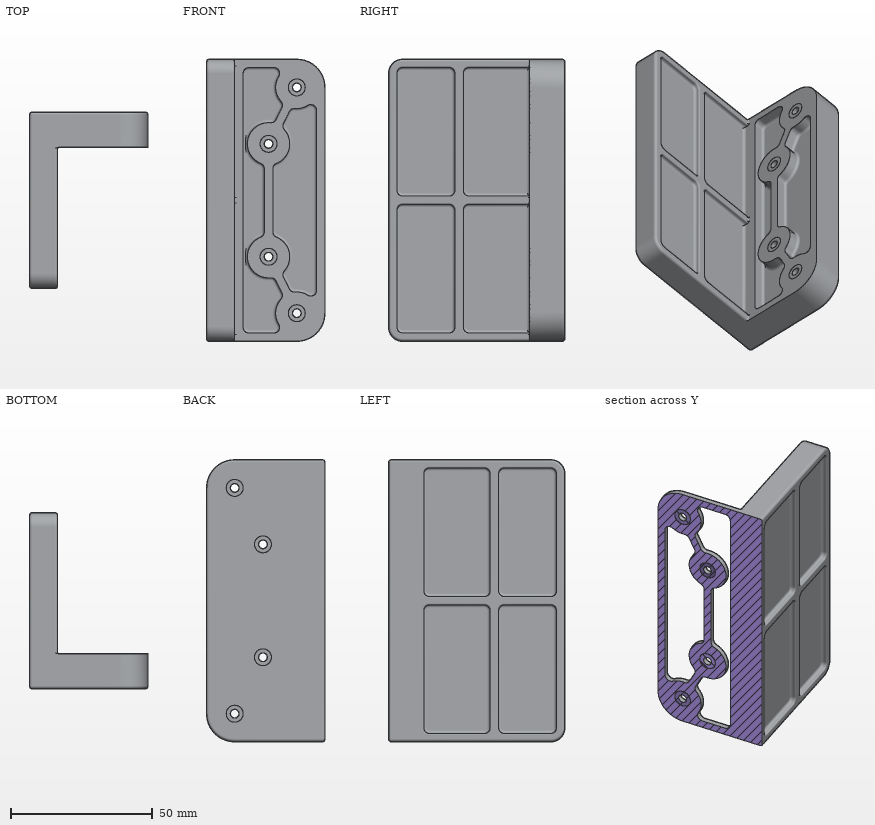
import cadquery as cq
import math

height = 100.0
flange_length = 42.0
flange_thickness = 12.5
wall_length = 50.0
wall_thickness = 10.0
flange_corner_radius = 10.0
wall_corner_radius = 5.0
edge_radius = 1.0

outer_hole = (32.0, 40.0)
inner_hole = (22.0, 20.0)
sleeve_diameter = 6.0
bore_diameter = 3.0

flange_pocket_margin = 3.0
flange_pocket_depth = 4.5
flange_pocket_corner_radius = 2.0
flange_floor_radius = 1.0
boss_radius = 7.5
rib_width = 3.0

wall_pocket_margin = 3.0
wall_rib_width = 3.0
wall_pocket_depth = 2.0
wall_pocket_corner_radius = 2.0
wall_floor_radius = 1.0
wall_rim_radius = 0.5
corner_fillet_radius = 0.5

half_height = height / 2
tiny = 0.01
upper_holes = [outer_hole, inner_hole]
hole_centres = upper_holes + [(x, -z) for x, z in reversed(upper_holes)]


def block(x_range, y_range, z_range):
    """Box spanning the given (low, high) ranges."""
    low, high = zip(x_range, y_range, z_range)
    size = [b - a for a, b in zip(low, high)]
    return cq.Workplane("XY").box(*size, centered=False).translate(low)


def y_cylinder(centre, radius, y_end):
    """Cylinder along Y from the front face of the flange (Y = 0) to y_end."""
    x, z = centre
    return cq.Workplane("XZ").center(x, z).circle(radius).extrude(-y_end)


def bracket_blank():
    """L-shaped wall and flange with rounded corners and edges."""
    z_range = (-half_height, half_height)
    flange = block((0, flange_length), (0, flange_thickness), z_range)
    flange = flange.edges("|Y and >X").fillet(flange_corner_radius)
    wall = block((0, wall_thickness), (-wall_length, flange_thickness), z_range)
    wall = wall.edges("|X and <Y").fillet(wall_corner_radius)
    blank = flange.union(wall).clean()
    blank = blank.faces("<X or >Y").edges().fillet(edge_radius)
    inner_face_edges = cq.selectors.BoxSelector(
        (wall_thickness - tiny, -wall_length - tiny, -half_height - tiny),
        (wall_thickness + tiny, -tiny, half_height + tiny),
    )
    return blank.edges(inner_face_edges).fillet(edge_radius)


def rib_between(start, end):
    """Rib running between two boss centres, as deep as the flange pockets."""
    run = end[0] - start[0]
    rise = end[1] - start[1]
    rib = cq.Workplane("XZ").rect(math.hypot(run, rise), rib_width).extrude(-flange_pocket_depth)
    rib = rib.rotate((0, 0, 0), (0, 1, 0), -math.degrees(math.atan2(rise, run)))
    return rib.translate(((start[0] + end[0]) / 2, 0, (start[1] + end[1]) / 2))


def rounded_pocket(outline_block):
    """Flange pocket volume with rounded corners and a rounded floor edge."""
    pocket = outline_block.edges("|Y").fillet(flange_pocket_corner_radius)
    return pocket.faces(">Y").edges().fillet(flange_floor_radius)


def flange_pockets():
    """The pocket volume beside the wall and the one beside the free edge of the flange."""
    left = wall_thickness + flange_pocket_margin
    right = flange_length - flange_pocket_margin
    top = half_height - flange_pocket_margin
    depth_range = (0, flange_pocket_depth)
    islands = block((0, right), depth_range, (-top, top))
    for centre in hole_centres:
        islands = islands.cut(y_cylinder(centre, boss_radius, flange_pocket_depth))
    for start, end in zip(hole_centres, hole_centres[1:]):
        islands = islands.cut(rib_between(start, end))
    corner_x, corner_z = outer_hole
    for z_range in ((corner_z, half_height), (-half_height, -corner_z)):
        islands = islands.cut(block((corner_x, flange_length), depth_range, z_range))
    frame = rounded_pocket(block((left, right), depth_range, (-top, top)))
    return frame.intersect(rounded_pocket(islands))


def wall_pocket_spans():
    """(Y range, Z range) of the two columns and two rows of wall pockets."""
    half_rib = wall_rib_width / 2
    middle = -wall_length / 2
    top = half_height - wall_pocket_margin
    columns = [(middle + half_rib, 0), (-wall_length + wall_pocket_margin, middle - half_rib)]
    rows = [(half_rib, top), (-top, -half_rib)]
    return [(column, row) for column in columns for row in rows]


def outer_wall_pocket(y_range, z_range):
    """Pocket volume in the outer face of the wall (X = 0)."""
    pocket = block((0, wall_pocket_depth), y_range, z_range)
    pocket = pocket.edges("|X").fillet(wall_pocket_corner_radius)
    return pocket.faces(">X").edges().fillet(wall_floor_radius)


def inner_wall_pocket(y_range, z_range):
    """Pocket volume in the inner face of the wall; beside the flange its corners stay square."""
    pocket = block((wall_thickness - wall_pocket_depth, wall_thickness), y_range, z_range)
    reaches_flange = y_range[1] == 0
    pocket = pocket.edges("|X and <Y" if reaches_flange else "|X").fillet(wall_pocket_corner_radius)
    return pocket.faces("<X").edges().fillet(wall_floor_radius)


def rim_edges(bracket, x):
    """Edges of the wall pockets that lie in the wall face at the given X."""
    edges = []
    for y_range, z_range in wall_pocket_spans():
        rim_box = cq.selectors.BoxSelector(
            (x - tiny, y_range[0] - tiny, z_range[0] - tiny),
            (x + tiny, y_range[1] + tiny, z_range[1] + tiny),
        )
        edges += bracket.edges(rim_box).vals()
    return bracket.newObject(edges)


def inner_corner_fillets(blank):
    """Fillets between wall and flange, only where the ribs and margins of the wall meet the flange."""
    corner_line = cq.selectors.BoxSelector(
        (wall_thickness - tiny, -tiny, -half_height), (wall_thickness + tiny, tiny, half_height)
    )
    fillets = blank.edges(corner_line).fillet(corner_fillet_radius).cut(blank)
    x_range = (0, wall_thickness + corner_fillet_radius)
    for y_range, (bottom, top) in wall_pocket_spans():
        fillets = fillets.cut(block(x_range, y_range, (bottom - wall_rim_radius, top + wall_rim_radius)))
    return fillets


def make_bracket():
    """The complete bracket with its pockets and the mounting holes for the sleeves."""
    blank = bracket_blank()
    bracket = blank.cut(flange_pockets())
    for y_range, z_range in wall_pocket_spans():
        bracket = bracket.cut(outer_wall_pocket(y_range, z_range))
        bracket = bracket.cut(inner_wall_pocket(y_range, z_range))
    for wall_face_x in (0, wall_thickness):
        bracket = rim_edges(bracket, wall_face_x).fillet(wall_rim_radius)
    bracket = bracket.union(inner_corner_fillets(blank))
    for centre in hole_centres:
        bracket = bracket.cut(y_cylinder(centre, sleeve_diameter / 2, flange_thickness))
    return bracket


def make_sleeve(centre):
    """Plain tube filling one mounting hole through the flange."""
    body = y_cylinder(centre, sleeve_diameter / 2, flange_thickness)
    return body.cut(y_cylinder(centre, bore_diameter / 2, flange_thickness))


bracket = make_bracket()
sleeves = [make_sleeve(centre) for centre in hole_centres]

result = cq.Compound.makeCompound([bracket.val(), *[sleeve.val() for sleeve in sleeves]])